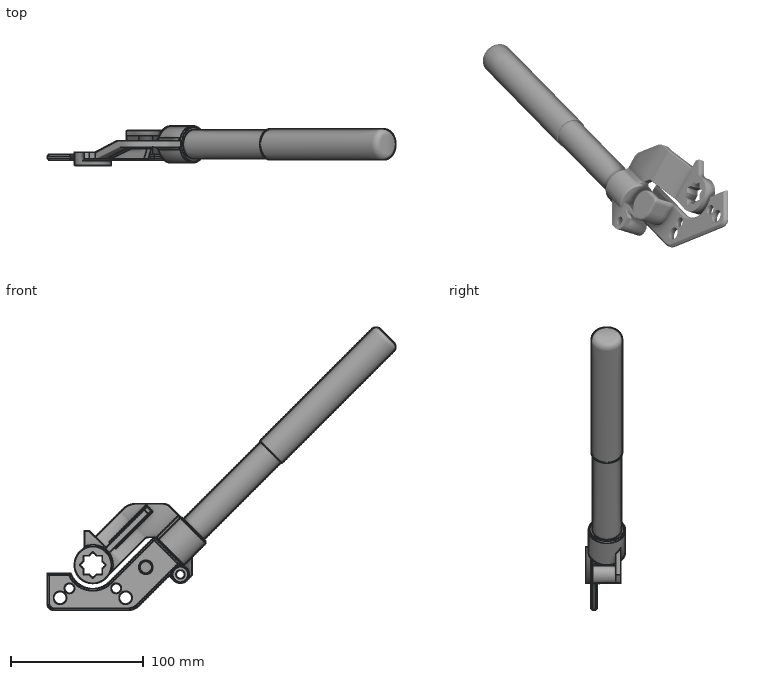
import cadquery as cq
import math

HANDLE_ANGLE = 45
DIAGONAL = math.sqrt(2)

axis_across = 34.7
ferrule_radius = 14.0
ferrule_start = 47.5
ferrule_end = 73.0
ferrule_chamfer = 1.0
ferrule_web_reach = 15.5
ferrule_web_flare = 2.0
rod_radius = 11.0
grip_radius = 11.8
grip_start = 155.2
grip_end = 279.5
grip_rounding = 4.5

socket_radius = 14.0
socket_front = -16.0
socket_rounding = 0.8
socket_collar = 1.3
star_square = 14.0

arm_half_width = 13.7
arm_lower_back = -5.8
arm_lower_front = -11.0
arm_upper_back = 3.0
arm_upper_front = -2.0
joggle_front_start = 17.0
joggle_front_end = 42.5
joggle_back_start = 16.3
joggle_back_end = 39.5
joggle_rounding = 5.3
arm_top = 46.3
arm_underside = 20.8
arm_end = 72.4
arm_shoulder_radius = 13.2
arm_end_radius = 8.0
arm_inner_radius = 4.0
arm_edge_rounding = 0.5

rib_half_width = 2.24
rib_tip_end = 56.8
rib_root_end = 60.5
rib_skirt = 1.3

tab_left = -6.3
tab_top = 25.8

plate_back = -7.4
plate_front = -12.0
plate_left = -34.5
plate_bottom = -34.2
plate_left_top = -6.3
plate_upper_across = 18.0
plate_lower_across = 46.3
plate_chamfer = 1.5
plate_left_radius = 5.3
plate_bend_radius = 11.8
inner_hole_offset = 17.5
inner_hole_radius = 3.7
outer_hole_offset = 24.7
outer_hole_radius = 4.7

pin_along = 27.0
pin_across = 29.5
pin_radius = 5.3
pin_recess = 1.0
pin_recess_taper = 0.8
housing_radius = 11.5
housing_corner_radius = 3.5
housing_back = 10.5
housing_inside = 6.5
housing_wall = 2.4
housing_rim_rounding = 1.5

lug_x = 66.0
lug_z = -7.0
lug_radius = 6.5
lug_web_start = 55.3
lug_right = 75.0
lug_hole_radius = 3.2
lug_front = -11.5
lug_chamfer = 0.8


def point(along, across):
    """X and Z of a place given in the handle frame, which is turned by 45 degrees."""
    return (along + across) / DIAGONAL, (along - across) / DIAGONAL


def x_on_across_line(across, z):
    """X where a line parallel to the handle reaches height z."""
    return z + across * DIAGONAL


def x_on_along_line(along, z):
    """X where a line square to the handle reaches height z."""
    return along * DIAGONAL - z


def slab(outline, front, back):
    """Prism with an outline in X and Z, from y = back to y = front."""
    sketch = cq.Workplane("XZ", origin=(0, back, 0)).polyline(outline).close()
    return sketch.extrude(back - front)


def disc(x, z, radius, front, back):
    return cq.Workplane("XZ", origin=(x, back, z)).circle(radius).extrude(back - front)


def tilt(body):
    """Turn a body built with X along the handle into its final position."""
    return body.rotate((0, 0, 0), (0, 1, 0), -HANDLE_ANGLE)


def round_corner(body, corner, radius):
    """Fillet the edge parallel to Y that passes nearest to a corner in X and Z."""
    x, z = corner
    nearest = cq.selectors.NearestToPointSelector((x, body.val().Center().y, z))
    return body.edges("|Y").edges(nearest).fillet(radius)


def make_handle():
    def bar(radius, start, end):
        return cq.Workplane("YZ", origin=(start, 0, -axis_across)).circle(radius).extrude(end - start)

    ferrule = bar(ferrule_radius, ferrule_start, ferrule_end).edges().chamfer(ferrule_chamfer)
    rod = bar(rod_radius, ferrule_end, grip_start)
    grip = bar(grip_radius, grip_start, grip_end).faces(">X").edges().fillet(grip_rounding)

    web_start = ferrule_start + ferrule_chamfer
    front = arm_upper_front - ferrule_web_flare
    back = arm_upper_back + ferrule_web_flare
    web = (
        cq.Workplane("YZ", origin=(web_start, 0, -axis_across))
        .moveTo(0, 0)
        .lineTo(front, math.sqrt(ferrule_radius**2 - front**2))
        .lineTo(arm_upper_front, ferrule_web_reach)
        .lineTo(arm_upper_back, ferrule_web_reach)
        .lineTo(back, math.sqrt(ferrule_radius**2 - back**2))
        .close()
        .extrude(ferrule_end - ferrule_chamfer - web_start)
    )
    return tilt(ferrule.union(rod).union(grip).union(web))


def make_arm():
    joggle = (
        cq.Workplane("XY", origin=(0, 0, -axis_across))
        .moveTo(0, arm_lower_front)
        .lineTo(joggle_front_start, arm_lower_front)
        .lineTo(joggle_front_end, arm_upper_front)
        .lineTo(arm_end, arm_upper_front)
        .lineTo(arm_end, arm_upper_back)
        .lineTo(joggle_back_end, arm_upper_back)
        .lineTo(joggle_back_start, arm_lower_back)
        .lineTo(0, arm_lower_back)
        .close()
        .extrude(2 * axis_across)
    )
    front_bend = cq.selectors.NearestToPointSelector((joggle_front_start, arm_lower_front, 0))
    joggle = joggle.edges("|Z").edges(front_bend).fillet(joggle_rounding)

    shoulder = (x_on_across_line(-arm_half_width, arm_top), arm_top)
    end_corner = (x_on_along_line(arm_end, arm_top), arm_top)
    inner_corner = (x_on_across_line(arm_half_width, arm_underside), arm_underside)
    outline = slab(
        [
            point(0, -arm_half_width),
            shoulder,
            end_corner,
            point(arm_end, axis_across),
            point(ferrule_start, axis_across),
            (x_on_along_line(ferrule_start, arm_underside), arm_underside),
            inner_corner,
            point(0, arm_half_width),
        ],
        arm_lower_front,
        arm_upper_back,
    )
    outline = round_corner(outline, shoulder, arm_shoulder_radius)
    outline = round_corner(outline, end_corner, arm_end_radius)
    outline = round_corner(outline, inner_corner, arm_inner_radius)
    return tilt(joggle).intersect(outline).edges().fillet(arm_edge_rounding)


def make_rib():
    rib = (
        cq.Workplane("XY", origin=(0, 0, -rib_half_width))
        .moveTo(0, arm_lower_front)
        .lineTo(rib_tip_end, arm_lower_front)
        .lineTo(rib_root_end, arm_upper_front)
        .lineTo(joggle_back_end, arm_upper_front)
        .close()
        .extrude(2 * rib_half_width)
    )
    slope = (arm_upper_front - arm_lower_front) / (joggle_front_end - joggle_front_start)
    skirt_start = joggle_front_start + rib_skirt / slope
    skirt_base = arm_lower_front + rib_skirt
    path = (
        cq.Workplane("XY")
        .moveTo(skirt_start, skirt_base)
        .lineTo(joggle_front_end, arm_upper_front)
        .lineTo(rib_root_end, arm_upper_front)
    )
    skirt = (
        cq.Workplane("YZ", origin=(skirt_start, 0, 0))
        .moveTo(skirt_base, -rib_half_width - rib_skirt)
        .lineTo(skirt_base, rib_half_width + rib_skirt)
        .lineTo(arm_lower_front, rib_half_width)
        .lineTo(arm_lower_front, -rib_half_width)
        .close()
        .sweep(path, transition="right")
    )
    return tilt(rib.union(skirt))


def make_tab():
    outline = [
        (tab_left, 0),
        (tab_left, tab_top),
        (x_on_along_line(joggle_back_start, tab_top), tab_top),
        point(joggle_back_start, -arm_half_width),
        point(joggle_back_start, 0),
    ]
    return slab(outline, arm_lower_front, arm_lower_back)


def make_socket(seat):
    """Socket ring, with a sloping collar at its foot kept within the outline of its seat."""
    ring = disc(0, 0, socket_radius, socket_front, arm_lower_back)
    ring = ring.faces("<Y").edges().fillet(socket_rounding)
    collar_front = arm_lower_front - socket_collar
    collar = disc(0, 0, socket_radius + socket_collar, collar_front, arm_lower_back)
    collar = collar.faces("<Y").edges().chamfer(socket_collar)
    return ring.union(collar.intersect(seat))


def cut_star(body):
    """Cut the eight-pointed star made by two squares an eighth of a turn apart."""
    for turn in (0, 45):
        square = cq.Workplane("XZ").transformed(rotate=(0, 0, turn)).rect(star_square, star_square)
        body = body.cut(square.extrude(-socket_front))
    return body


def make_hook_plate():
    bend = (x_on_across_line(plate_lower_across, plate_bottom), plate_bottom)
    outline = [
        (plate_left, plate_bottom),
        (plate_left, plate_left_top),
        (0, plate_left_top),
        point(0, plate_upper_across),
        point(ferrule_start, plate_upper_across),
        point(ferrule_start, plate_lower_across),
        bend,
    ]
    plate = slab(outline, plate_front, plate_back)
    plate = round_corner(plate, (plate_left, plate_bottom), plate_left_radius)
    plate = round_corner(plate, bend, plate_bend_radius)
    plate = plate.cut(disc(0, 0, plate_upper_across, plate_front, plate_back))
    plate = plate.faces("<Y or >Y").edges().chamfer(plate_chamfer)
    for side in (-1, 1):
        for offset, radius in (
            (inner_hole_offset, inner_hole_radius),
            (outer_hole_offset, outer_hole_radius),
        ):
            plate = plate.cut(disc(side * offset, -offset, radius, plate_front, plate_back))
    return plate


def handle_block(along_range, across_range, front, back):
    """Rectangular block with sides along and square to the handle."""
    start, end = along_range
    upper, lower = across_range
    return slab([point(start, upper), point(end, upper), point(end, lower), point(start, lower)], front, back)


def make_housing():
    pin_spot = point(pin_along, pin_across)
    start = pin_along - housing_radius
    end = pin_along + housing_radius
    upper = pin_across - housing_radius
    lower = pin_across + housing_radius

    corner = handle_block((start, pin_along), (upper, pin_across), plate_back, housing_back)
    corner = round_corner(corner, point(start, upper), housing_corner_radius)
    housing = disc(*pin_spot, housing_radius, plate_back, housing_back).union(corner)
    housing = housing.faces(">Y").edges().fillet(housing_rim_rounding)

    inner_radius = housing_radius - housing_wall
    cavity = disc(*pin_spot, inner_radius, plate_back, housing_inside)
    arm_side = handle_block((start + housing_wall, end), (upper, pin_across), plate_back, housing_inside)
    ferrule_side = handle_block((pin_along, end), (pin_across, lower), plate_back, housing_inside)
    housing = housing.cut(cavity.union(arm_side).union(ferrule_side))

    wall = (inner_radius + pin_across, lower)
    housing = housing.union(handle_block((pin_along, ferrule_start), wall, plate_back, housing_back))

    pin = disc(*pin_spot, pin_radius, plate_front, housing_back)
    return housing.union(pin)


def make_lug():
    tangent = lug_radius / DIAGONAL
    reach = lug_radius * DIAGONAL
    web = slab(
        [
            (lug_x - tangent, lug_z - tangent),
            (lug_x + tangent, lug_z - tangent),
            (lug_right, lug_z - reach + lug_right - lug_x),
            (lug_right, lug_right - axis_across * DIAGONAL),
            point(lug_web_start, axis_across),
            (lug_x - reach, lug_z),
        ],
        housing_inside,
        housing_back,
    )
    barrel = disc(lug_x, lug_z, lug_radius, lug_front, housing_back)
    barrel = barrel.faces("<Y").edges().chamfer(lug_chamfer)
    return barrel.union(web)


def cut_pin_recess(body):
    """Shallow recess with a tapered wall in front of the pin."""
    recess = disc(*point(pin_along, pin_across), pin_radius, plate_front, plate_front + pin_recess)
    return body.cut(recess.faces(">Y").edges().chamfer(pin_recess_taper))


tab = make_tab()
neck = handle_block((0, joggle_front_start), (-arm_half_width, arm_half_width), socket_front, arm_lower_back)
tab_seat = tab.union(tab.translate((0, socket_front - arm_lower_front, 0)))
socket = make_socket(neck.union(tab_seat))
head = cut_star(make_arm().union(make_rib()).union(tab).union(socket))

result = head.union(make_handle()).union(make_hook_plate()).union(make_housing()).union(make_lug())
result = cut_pin_recess(result)
result = result.cut(disc(lug_x, lug_z, lug_hole_radius, lug_front, housing_back))